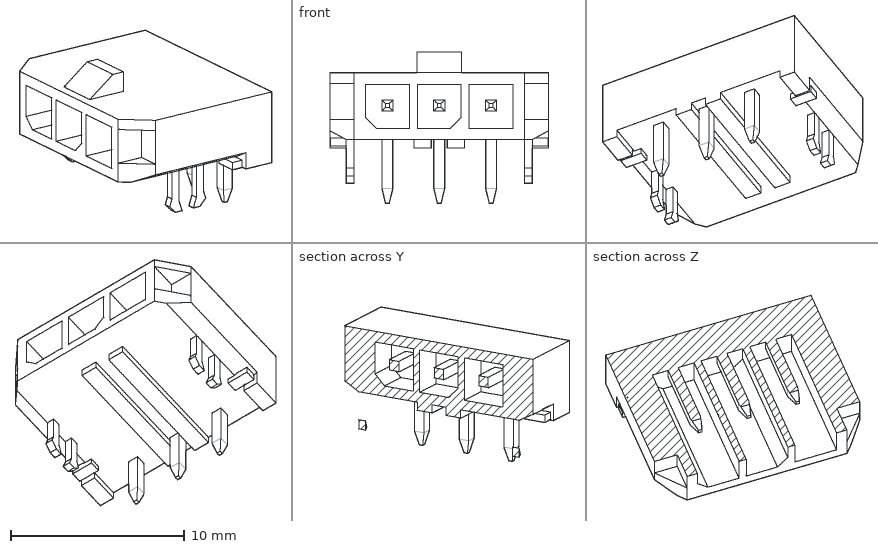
import cadquery as cq


width = 12.65
depth = 9.9
height = 3.87
half_width = width / 2
corner_x = 1.4
corner_y = 1.67
face_half_width = half_width - corner_x
recess_bottom = 1.16
recess_top = 3.24

standoff = 0.49
foot_width = 0.95
foot_depth = 1.85
bevel_height = 0.52
rib_width = 1.0
rib_offset = 0.96
rib_front = 1.58

pitch = 3.0
contact_layout = ((-pitch, "<X"), (0, ">X"), (pitch, None))
cavity_size = 2.54
cavity_depth = 7.59
cavity_center_z = 1.92
key_chamfer = 0.63

pin_size = 0.65
pin_tip_size = 0.23
pin_taper = 0.86
pin_front = 3.04
pin_z = 1.97
pin_tail_inset = 0.99
pin_tail_y = depth - pin_tail_inset
pin_tail_bottom = -3.68

latch_width = 2.58
latch_height = 1.2
latch_back = 2.95
latch_crest = 2.21
latch_front = 0.57

clip_thickness = 0.45
clip_y = 4.62
leg_inner = 0.61
leg_outer = 1.13
barb_reach = 1.28
toe_inner = 0.39
toe_outer = 0.86
leg_bottom = -2.53
barb_tip_z = -2.1
barb_start_z = -1.65
inner_bend_z = -1.91
tab_reach = 6.27
tab_bottom = -0.37
tab_depth = 0.68
tab_front = 7.15

embed = 0.25


def block(x_range, y_range, z_range):
    """Box between the given limits on each axis."""
    ranges = (x_range, y_range, z_range)
    size = [high - low for low, high in ranges]
    corner = [low for low, high in ranges]
    return cq.Workplane("XY").box(*size, centered=False).translate(tuple(corner))


def side_profile(points, x_start, thickness):
    """Extrude a (Y, Z) outline along +X from x_start."""
    return cq.Workplane("YZ", origin=(x_start, 0, 0)).polyline(points).close().extrude(thickness)


def both_sides(solid):
    """The solid together with its mirror image across the middle of the part."""
    return solid.union(solid.mirror("YZ"))


def make_housing():
    body = (
        cq.Workplane("XY")
        .moveTo(-face_half_width, 0)
        .lineTo(face_half_width, 0)
        .lineTo(half_width, corner_y)
        .lineTo(half_width, depth)
        .lineTo(-half_width, depth)
        .lineTo(-half_width, corner_y)
        .close()
        .extrude(height)
    )
    bevel = (
        cq.Workplane("XZ")
        .moveTo(half_width, 0)
        .lineTo(half_width, bevel_height)
        .lineTo(half_width - foot_width, 0)
        .close()
        .extrude(-(depth - foot_depth))
    )
    recess = block((face_half_width, half_width), (0, corner_y), (recess_bottom, recess_top))
    foot = block((half_width - foot_width, half_width), (depth - foot_depth, depth), (-standoff, embed))
    rib = block(
        (rib_offset - rib_width / 2, rib_offset + rib_width / 2), (rib_front, depth), (-standoff, embed)
    )
    return body.cut(both_sides(bevel.union(recess))).union(both_sides(foot)).union(both_sides(rib))


def make_cavity(x, key_side):
    """Square cavity with its lower corner on key_side bevelled, if a side is given."""
    half = cavity_size / 2
    cavity = block(
        (x - half, x + half), (0, cavity_depth), (cavity_center_z - half, cavity_center_z + half)
    )
    if key_side:
        cavity = cavity.edges("|Y").edges("<Z").edges(key_side).chamfer(key_chamfer)
    return cavity


def make_pin(start, direction, length):
    """Square pin with a pyramid point, from start along direction."""
    plane = cq.Plane(origin=start, xDir=(1, 0, 0), normal=direction)
    shank_length = length - pin_taper
    shank = cq.Workplane(plane).rect(pin_size, pin_size).extrude(shank_length)
    point = (
        cq.Workplane(plane)
        .workplane(offset=shank_length)
        .rect(pin_size, pin_size)
        .workplane(offset=pin_taper)
        .rect(pin_tip_size, pin_tip_size)
        .loft()
    )
    return shank.union(point)


def make_contact(x):
    """Right-angle contact: a mating pin in the cavity and a solder tail below."""
    bend = (x, pin_tail_y, pin_z)
    mating_pin = make_pin(bend, (0, -1, 0), pin_tail_y - pin_front)
    tail = make_pin(bend, (0, 0, -1), pin_z - pin_tail_bottom)
    return mating_pin.union(tail)


def make_latch():
    points = [
        (latch_front, height),
        (latch_crest, height + latch_height),
        (latch_back, height + latch_height),
        (latch_back, height - embed),
        (latch_front, height - embed),
    ]
    return side_profile(points, -latch_width / 2, latch_width)


def make_clip():
    """Clip on the +X side: two barbed legs and a tab bent outward."""
    inner_face = face_half_width
    leg_outline = [
        (leg_inner, embed),
        (leg_outer, embed),
        (leg_outer, barb_start_z),
        (barb_reach, barb_tip_z),
        (toe_outer, leg_bottom),
        (toe_inner, leg_bottom),
        (leg_inner, inner_bend_z),
    ]
    rear_leg = side_profile(leg_outline, inner_face, clip_thickness)
    legs = rear_leg.union(rear_leg.mirror("XZ")).translate((0, clip_y, 0))
    tab = block(
        (inner_face, tab_reach),
        (tab_front, tab_front + tab_depth),
        (tab_bottom, tab_bottom + clip_thickness),
    )
    return legs.union(tab)


result = make_housing()
for x, key_side in contact_layout:
    result = result.cut(make_cavity(x, key_side)).union(make_contact(x))
result = result.union(make_latch()).union(both_sides(make_clip()))